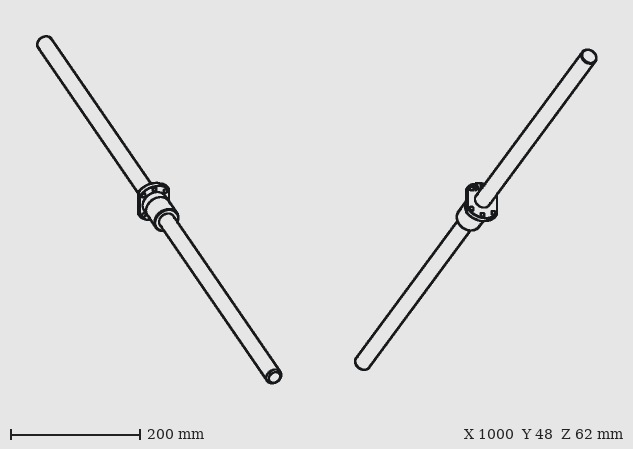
import cadquery as cq
import math

shaft_length = 1000.0
shaft_diameter = 25.0
shaft_chamfer = 3.0
shaft_edge_break = 1.0

nut_offset = 469.0
nut_start = -shaft_length / 2 + nut_offset
nut_length = 62.0
nut_diameter = 40.0
nut_chamfer = 1.0

flange_diameter = 62.0
flange_width = 48.0
flange_thickness = 10.0
flange_chamfer = 0.5

pilot_length = 15.0
pilot_relief = 0.2

bolt_circle_radius = 25.5
bolt_hole_diameter = 6.6
bolt_hole_angles = (45, 90, 135, 225, 270, 315)

oil_hole_diameter = 6.0
oil_hole_angle = 65
oil_hole_setback = 2.0
oil_hole_floor_radius = 20.0
oil_hole_overrun = 2.0


def cylinder_x(start, length, diameter):
    """Cylinder along +X, beginning at the given X position."""
    return cq.Workplane("YZ", origin=(start, 0, 0)).circle(diameter / 2).extrude(length)


def make_shaft():
    shaft = cylinder_x(-shaft_length / 2, shaft_length, shaft_diameter)
    shaft = shaft.faces(">X").chamfer(shaft_chamfer)
    return shaft.faces("<X").chamfer(shaft_edge_break)


def make_flange():
    """Round flange with a chamfered front rim and two flat sides."""
    disc = cylinder_x(nut_start, flange_thickness, flange_diameter)
    disc = disc.faces("<X").chamfer(flange_chamfer)
    flats = cq.Workplane("YZ", origin=(nut_start, 0, 0)).rect(flange_width, flange_diameter)
    return disc.intersect(flats.extrude(flange_thickness))


def make_barrel():
    """Nut body, slightly smaller just behind the flange."""
    pilot_end = nut_start + flange_thickness + pilot_length
    pilot = cylinder_x(nut_start, pilot_end - nut_start, nut_diameter - 2 * pilot_relief)
    rear = cylinder_x(pilot_end, nut_start + nut_length - pilot_end, nut_diameter)
    return pilot.union(rear.faces(">X").chamfer(nut_chamfer))


def make_bolt_holes():
    centers = [
        (
            bolt_circle_radius * math.cos(math.radians(angle)),
            bolt_circle_radius * math.sin(math.radians(angle)),
        )
        for angle in bolt_hole_angles
    ]
    plane = cq.Workplane("YZ", origin=(nut_start, 0, 0))
    return plane.pushPoints(centers).circle(bolt_hole_diameter / 2).extrude(flange_thickness)


def make_oil_hole():
    """Radial drilling from the flange rim, stopping short of the bore."""
    angle = math.radians(oil_hole_angle)
    direction = cq.Vector(0, math.cos(angle), math.sin(angle))
    floor = cq.Vector(nut_start + oil_hole_setback, 0, 0) + direction * oil_hole_floor_radius
    depth = flange_diameter / 2 - oil_hole_floor_radius + oil_hole_overrun
    return cq.Workplane(obj=cq.Solid.makeCylinder(oil_hole_diameter / 2, depth, floor, direction))


def make_nut():
    nut = make_flange().union(make_barrel())
    nut = nut.cut(make_bolt_holes()).cut(make_oil_hole())
    return nut.cut(cylinder_x(nut_start, nut_length, shaft_diameter))


shaft = make_shaft()
nut = make_nut()
result = cq.Compound.makeCompound([shaft.val(), nut.val()])